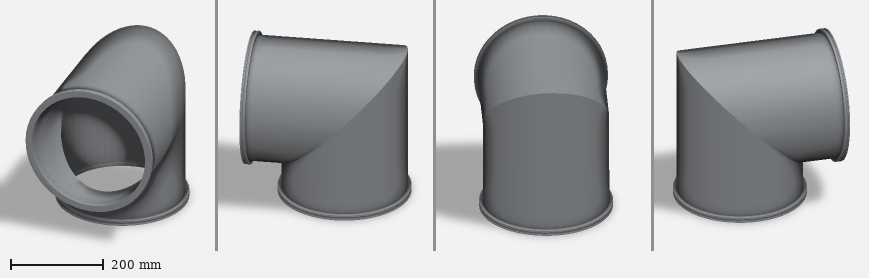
import cadquery as cq

overall_length = 353.0
flange_diameter = 290.0
tube_diameter = 273.5
tube_bore = 266.0
flange_bore = 262.0

rim_width = 2.5
groove_floor_width = 2.5
groove_slope_width = 2.5
collar_width = 4.2
groove_depth = 2.5

flange_radius = flange_diameter / 2
tube_radius = tube_diameter / 2
groove_radius = flange_radius - groove_depth
groove_end = rim_width + groove_floor_width
collar_start = groove_end + groove_slope_width
flange_width = collar_start + collar_width

lip_depth = collar_start

leg_length = overall_length - flange_radius


def mitred_cylinder(radius):
    """Upright cylinder from the lower face, cut by the 45 degree mitre plane."""
    upper_side = leg_length + radius
    lower_side = leg_length - radius
    cylinder = cq.Workplane("XY").circle(radius).extrude(upper_side)
    keep = (
        cq.Workplane("YZ")
        .polyline([(-radius, 0), (radius, 0), (radius, upper_side), (-radius, lower_side)])
        .close()
        .extrude(radius, both=True)
    )
    return cylinder.intersect(keep)


def elbow(radius):
    """Upright leg joined to its mirror image across the mitre plane."""
    upright = mitred_cylinder(radius)
    return upright.union(lay_down(upright))


def lay_down(upright):
    """Turn an upright leg about the axis crossing so that its open face looks toward -Y."""
    crossing = (0, 0, leg_length)
    return upright.rotate(crossing, (1, 0, leg_length), -90).rotate(crossing, (0, 1, leg_length), 180)


def flange():
    """Solid flange disc on the lower face, with a groove around its edge."""
    profile = [
        (0, 0),
        (flange_radius, 0),
        (flange_radius, rim_width),
        (groove_radius, rim_width),
        (groove_radius, groove_end),
        (flange_radius, collar_start),
        (flange_radius, flange_width),
        (0, flange_width),
    ]
    return cq.Workplane("XZ").polyline(profile).close().revolve(360, (0, 0, 0), (0, 1, 0))


def lower_lip():
    """Ring at the lower face that narrows the tube bore to the flange bore."""
    return cq.Workplane("XY").circle(tube_radius).circle(flange_bore / 2).extrude(lip_depth)


lip = lower_lip()
outside = elbow(tube_radius).union(flange()).union(lay_down(flange()))
bored = outside.cut(elbow(tube_bore / 2))

result = bored.union(lip).union(lay_down(lip))